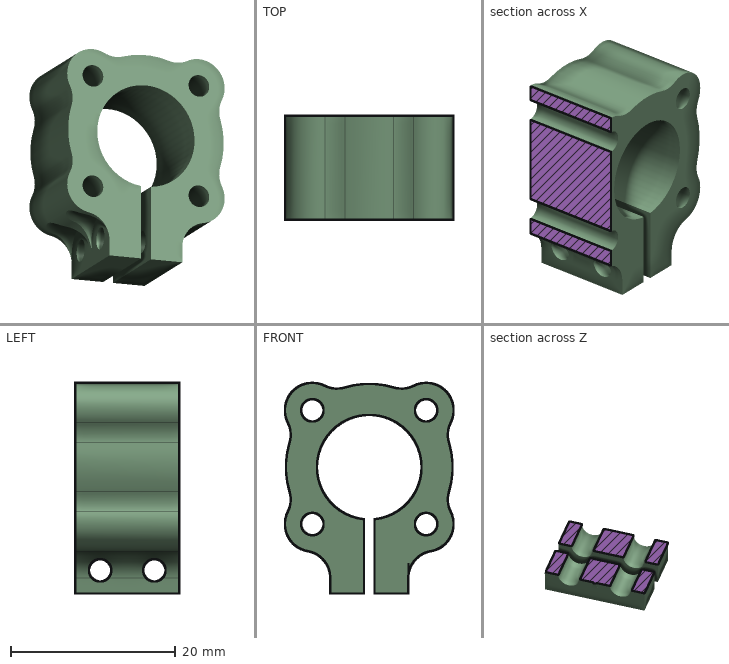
import cadquery as cq
import math

BODY_LENGTH = 12.7
BORE_RADIUS = 6.35
WALL_RADIUS = 10.16
LOBE_RADIUS = 3.36
LOBE_OFFSET = 6.92
BLEND_RADIUS = 3.275
SCREW_HOLE_DIAMETER = 2.7

FOOT_HALF_WIDTH = 4.76
FOOT_BOTTOM = -15.4
SLOT_WIDTH = 1.27
CLAMP_SCREW_HEIGHT = 2.85
CLAMP_SCREW_SPACING = 6.6
SCREW_HEAD_DIAMETER = 6.08


def point_toward(start, end, distance):
    """Point at a given distance from start on the line to end."""
    span = math.dist(start, end)
    return tuple(a + (b - a) * distance / span for a, b in zip(start, end))


def wall_blend_center():
    """Centre of the hollow touching the +X wall and the (+X, +Z) lobe."""
    from_origin = WALL_RADIUS + BLEND_RADIUS
    from_lobe = LOBE_RADIUS + BLEND_RADIUS
    lobe_distance = math.hypot(LOBE_OFFSET, LOBE_OFFSET)
    cosine = (from_origin**2 + lobe_distance**2 - from_lobe**2) / (2 * from_origin * lobe_distance)
    angle = math.atan2(LOBE_OFFSET, LOBE_OFFSET) - math.acos(cosine)
    return from_origin * math.cos(angle), from_origin * math.sin(angle)


def foot_blend_center():
    """Centre of the hollow touching the +X foot side and the (+X, -Z) lobe."""
    x = FOOT_HALF_WIDTH + BLEND_RADIUS
    drop = math.sqrt((LOBE_RADIUS + BLEND_RADIUS)**2 - (x - LOBE_OFFSET)**2)
    return x, -LOBE_OFFSET - drop


def mirror_x(point):
    return -point[0], point[1]


def mirror_z(point):
    return point[0], -point[1]


def swap_axes(point):
    return point[1], point[0]


def arc_middle(center, radius, start, end):
    """Middle of the shorter arc from start to end."""
    chord_middle = tuple((a + b) / 2 for a, b in zip(start, end))
    return point_toward(center, chord_middle, radius)


def right_half_arcs():
    """Arcs (middle, end) from the top of the crown down to the +X foot side."""
    origin = (0, 0)
    upper_lobe = (LOBE_OFFSET, LOBE_OFFSET)
    lower_lobe = mirror_z(upper_lobe)
    side_blend = wall_blend_center()
    top_blend = swap_axes(side_blend)
    foot_blend = foot_blend_center()

    wall_end = point_toward(origin, side_blend, WALL_RADIUS)
    lobe_end = point_toward(upper_lobe, side_blend, LOBE_RADIUS)
    lower_lobe_end = point_toward(lower_lobe, foot_blend, LOBE_RADIUS)
    foot_top = (FOOT_HALF_WIDTH, foot_blend[1])
    lobe_reach = LOBE_RADIUS / math.sqrt(2)
    upper_lobe_tip = (LOBE_OFFSET + lobe_reach, LOBE_OFFSET + lobe_reach)

    def hollow(center, start, end):
        return arc_middle(center, BLEND_RADIUS, start, end), end

    return [
        hollow(top_blend, swap_axes(wall_end), swap_axes(lobe_end)),
        (upper_lobe_tip, lobe_end),
        hollow(side_blend, lobe_end, wall_end),
        ((WALL_RADIUS, 0), mirror_z(wall_end)),
        hollow(mirror_z(side_blend), mirror_z(wall_end), mirror_z(lobe_end)),
        (mirror_z(upper_lobe_tip), lower_lobe_end),
        hollow(foot_blend, lower_lobe_end, foot_top),
    ]


def make_body():
    crown_end = swap_axes(point_toward((0, 0), wall_blend_center(), WALL_RADIUS))
    arcs = right_half_arcs()
    outline = cq.Workplane("XZ").moveTo(*mirror_x(crown_end))
    outline = outline.threePointArc((0, WALL_RADIUS), crown_end)
    for middle, end in arcs:
        outline = outline.threePointArc(middle, end)
    outline = outline.lineTo(FOOT_HALF_WIDTH, FOOT_BOTTOM)
    outline = outline.lineTo(-FOOT_HALF_WIDTH, FOOT_BOTTOM)

    arc_starts = [crown_end] + [end for _, end in arcs[:-1]]
    outline = outline.lineTo(*mirror_x(arcs[-1][1]))
    for (middle, _), start in zip(reversed(arcs), reversed(arc_starts)):
        outline = outline.threePointArc(mirror_x(middle), mirror_x(start))
    return outline.close().extrude(BODY_LENGTH / 2, both=True)


def cut_bore_and_slot(body):
    bore = cq.Workplane("XZ").circle(BORE_RADIUS).extrude(BODY_LENGTH, both=True)
    slot = cq.Workplane("XY").box(SLOT_WIDTH, BODY_LENGTH, -FOOT_BOTTOM, centered=(True, True, False))
    return body.cut(bore).cut(slot.translate((0, 0, FOOT_BOTTOM)))


def cut_bolt_holes(body):
    pitch = 2 * LOBE_OFFSET
    holes = cq.Workplane("XZ").rarray(pitch, pitch, 2, 2).circle(SCREW_HOLE_DIAMETER / 2)
    return body.cut(holes.extrude(BODY_LENGTH, both=True))


def cut_clamp_screws(body):
    """Cross holes through the foot, with flat head seats level with its +X side."""
    outer_reach = LOBE_OFFSET + LOBE_RADIUS
    screw_z = FOOT_BOTTOM + CLAMP_SCREW_HEIGHT
    for side in (-1, 1):
        center = (side * CLAMP_SCREW_SPACING / 2, screw_z)
        hole = cq.Workplane("YZ").center(*center).circle(SCREW_HOLE_DIAMETER / 2)
        seat = cq.Workplane("YZ", origin=(FOOT_HALF_WIDTH, 0, 0)).center(*center)
        seat = seat.circle(SCREW_HEAD_DIAMETER / 2)
        body = body.cut(hole.extrude(outer_reach, both=True)).cut(seat.extrude(outer_reach))
    return body


result = cut_clamp_screws(cut_bolt_holes(cut_bore_and_slot(make_body())))